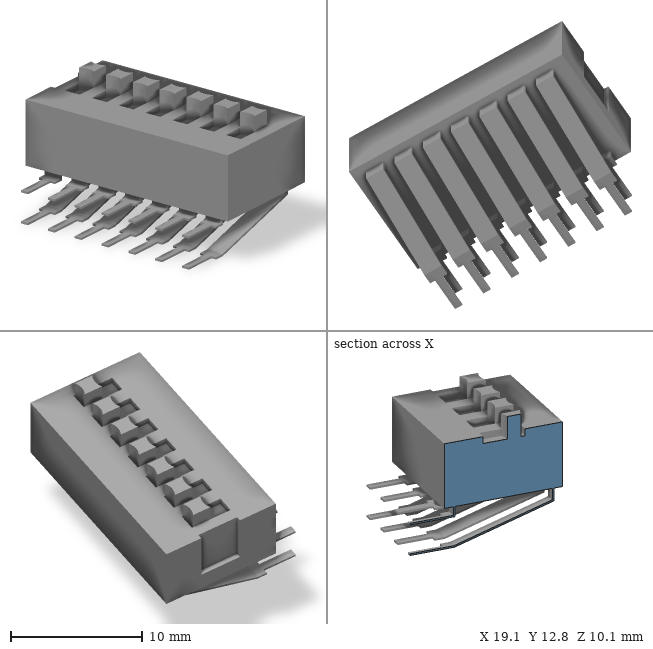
import cadquery as cq
import math


total_depth = 12.8
total_height = 10.13

body_length = 19.14
body_depth = 9.91
body_height = 5.44
body_front = -body_depth / 2
body_back = body_depth / 2

switch_count = 7
row_length = 15.24
pitch = row_length / (switch_count - 1)
row_offset = 0.08
switch_xs = [row_offset - row_length / 2 + i * pitch for i in range(switch_count)]

slot_width = 1.44
slot_length = 3.5
slot_depth = 0.57
slot_setback = 3.15
slot_back = body_back - slot_setback
slot_y = slot_back - slot_length / 2

recess_depth = 0.4
recess_height = 4.0

knob_width = 1.38
knob_length = 1.57
knob_rise = 1.3
knob_hollow = 0.2
knob_clearance = 0.11
knob_back = slot_back - knob_clearance

sheet = 0.17
shank_width = 1.53
pin_width = 0.65
pin_tip_y = body_back - total_depth
shoulder_y = body_front

front_leg_setback = 9.0
front_leg_drop = 0.85
front_leg_y = body_back - front_leg_setback

back_leg_setback = 0.7
back_leg_drop = 1.05
back_leg_y = body_back - back_leg_setback
back_leg_bend_setback = 9.07
back_leg_bend_y = body_back - back_leg_bend_setback
back_leg_bottom = body_height + knob_rise - total_height

front_leg_path = [
    (pin_tip_y, -front_leg_drop),
    (front_leg_y, -front_leg_drop),
    (front_leg_y, 0),
]
back_leg_path = [
    (pin_tip_y, back_leg_bottom),
    (back_leg_bend_y, back_leg_bottom),
    (back_leg_y, -back_leg_drop),
    (back_leg_y, 0),
]


def make_housing():
    housing = cq.Workplane("XY").box(body_length, body_depth, body_height, centered=(True, True, False))
    recess = (
        cq.Workplane("XY")
        .box(recess_depth, slot_length, recess_height, centered=(False, True, False))
        .translate((-body_length / 2, slot_y, body_height - recess_height))
    )
    return housing.cut(recess)


def make_slot(x):
    return (
        cq.Workplane("XY")
        .box(slot_width, slot_length, slot_depth, centered=(True, True, False))
        .translate((x, slot_y, body_height - slot_depth))
    )


def make_knob(x):
    """Actuator standing on the slot floor, concave towards front and back."""
    left = x - knob_width / 2
    right = x + knob_width / 2
    front = knob_back - knob_length
    return (
        cq.Workplane("XY", origin=(0, 0, body_height - slot_depth))
        .moveTo(left, front)
        .threePointArc((x, front + knob_hollow), (right, front))
        .lineTo(right, knob_back)
        .threePointArc((x, knob_back - knob_hollow), (left, knob_back))
        .close()
        .extrude(slot_depth + knob_rise)
    )


def strip_outline(path):
    """Thicken an open (y, z) path to its left-hand side with mitred bends."""
    angles = [math.atan2(b[1] - a[1], b[0] - a[0]) for a, b in zip(path, path[1:])]
    before = [angles[0]] + angles
    after = angles + [angles[-1]]
    offset_side = []
    for (y, z), a, b in zip(path, before, after):
        reach = sheet / math.cos((b - a) / 2)
        normal = (a + b) / 2 + math.pi / 2
        offset_side.append((y + reach * math.cos(normal), z + reach * math.sin(normal)))
    return path + offset_side[::-1]


def make_leg(x, path):
    """Bent strip trimmed on both sides to a pin in front of the shoulder."""
    leg = (
        cq.Workplane("YZ", origin=(x, 0, 0))
        .polyline(strip_outline(path))
        .close()
        .extrude(shank_width / 2, both=True)
    )
    trim_width = (shank_width - pin_width) / 2
    trim = cq.Workplane("XY").box(trim_width, shoulder_y - pin_tip_y, total_height)
    trim_x = (shank_width + pin_width) / 4
    trim_y = (shoulder_y + pin_tip_y) / 2
    for side in (-1, 1):
        leg = leg.cut(trim.translate((x + side * trim_x, trim_y, 0)))
    return leg


result = make_housing()
for switch_x in switch_xs:
    result = result.cut(make_slot(switch_x)).union(make_knob(switch_x))
    for leg_path in (front_leg_path, back_leg_path):
        result = result.union(make_leg(switch_x, leg_path))